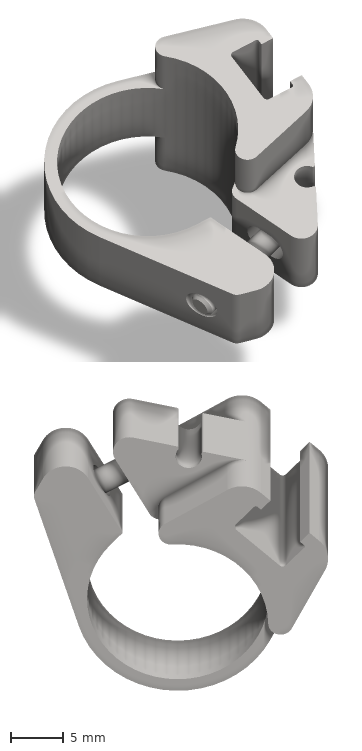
import cadquery as cq
import math

bore_radius = 8.65
ring_radius = 9.9
band_height = 8.05

saddle_height = 19.0
saddle_top = 15.8
saddle_side_angle = 15.8
saddle_corner_radius = 2.68
lobe_radius = 1.18

mouth_width = 5.1
lip_thickness = 1.32
slot_width = 6.48
slot_depth = 4.5
slot_floor_radius = 0.42
slot_lip_radius = 0.23

gap_tilt = 18
upper_gap_offset = 2.1
lower_gap_offset = -1.13
ear_slope = 30
upper_tip_radius = 1.58
upper_heel_radius = lobe_radius
lower_end_tilt = 15
lower_end_offset = 17.4
lower_tip_radius = 2.45
lower_toe_radius = 1.0

notch_radius = 2.5 / 2
notch_along_slope = 2.35
notch_below_slope = 0.8
notch_lip_radius = 0.2

screw_radius = 2.5 / 2
hole_diameter = 3.3
upper_slot_length = 4.42
lower_hole_end = 9.85
screw_along_gap = 12.82
screw_tip = 7.65
screw_chamfer = 0.35
screw_root = -3.8


def polar(radius, angle):
    """Point at a radius and an angle in degrees."""
    return radius * math.cos(math.radians(angle)), radius * math.sin(math.radians(angle))


def shift(point, radius, angle):
    """Point moved by a distance in a direction."""
    dx, dy = polar(radius, angle)
    return point[0] + dx, point[1] + dy


def mirrored(point):
    return -point[0], point[1]


def meet(line_a, line_b):
    """Crossing of two lines, each given as (normal angle, offset from the origin)."""
    (angle_a, offset_a), (angle_b, offset_b) = line_a, line_b
    ax, ay = polar(1, angle_a)
    bx, by = polar(1, angle_b)
    cross = ax * by - ay * bx
    return (offset_a * by - offset_b * ay) / cross, (ax * offset_b - bx * offset_a) / cross


def prism(profile, height):
    """Closed profile extruded evenly about the XY plane."""
    return profile.extrude(height / 2, both=True)


def round_edge(body, point, radius):
    """Round the vertical edge nearest to a point."""
    return body.edges("|Z").edges(cq.selectors.NearestToPointSelector((*point, 0))).fillet(radius)


saddle_side = (saddle_side_angle, ring_radius)
saddle_roof = (90, saddle_top)
gap_normal = 90 + gap_tilt
upper_gap = (gap_normal, upper_gap_offset)
lower_gap = (gap_normal, lower_gap_offset)
lower_end = (-lower_end_tilt, lower_end_offset)
slope_normal = 90 - ear_slope
underside_normal = ear_slope - 90
underside = (underside_normal, ring_radius)

lobe_distance = bore_radius + lobe_radius
lobe_angle = saddle_side_angle + math.degrees(math.acos((ring_radius - lobe_radius) / lobe_distance))
lobe_center = polar(lobe_distance, lobe_angle)
lobe_side = shift(lobe_center, lobe_radius, saddle_side_angle)
lobe_bottom = shift(lobe_center, lobe_radius, -90)
lobe_bore = polar(bore_radius, lobe_angle)

saddle_corner = meet(saddle_side, saddle_roof)
corner_center = meet(
    (saddle_side_angle, ring_radius - saddle_corner_radius),
    (90, saddle_top - saddle_corner_radius),
)
slope_start = shift(corner_center, saddle_corner_radius, slope_normal)
slope_x, slope_y = polar(1, slope_normal)
slope_offset = slope_start[0] * slope_x + slope_start[1] * slope_y
ear_top = (slope_normal, slope_offset)


def make_saddle():
    profile = (
        cq.Workplane("XY")
        .moveTo(*mirrored(saddle_corner))
        .lineTo(*saddle_corner)
        .lineTo(*lobe_side)
        .threePointArc(lobe_bottom, lobe_bore)
        .threePointArc((0, bore_radius), mirrored(lobe_bore))
        .threePointArc(mirrored(lobe_bottom), mirrored(lobe_side))
        .close()
    )
    saddle = prism(profile, saddle_height)
    for corner in (saddle_corner, mirrored(saddle_corner)):
        saddle = round_edge(saddle, corner, saddle_corner_radius)
    return saddle


def make_band():
    upper_tip = meet(ear_top, upper_gap)
    heel_angle = gap_normal - math.degrees(math.acos(upper_gap_offset / bore_radius))
    upper_heel = polar(bore_radius, heel_angle)
    lower_heel = meet((0, bore_radius), lower_gap)
    lower_tip = meet(lower_gap, lower_end)
    lower_toe = meet(lower_end, underside)
    profile = (
        cq.Workplane("XY")
        .moveTo(*polar(ring_radius, 180 - saddle_side_angle))
        .lineTo(*mirrored(lobe_side))
        .lineTo(*slope_start)
        .lineTo(*upper_tip)
        .lineTo(*upper_heel)
        .threePointArc((-bore_radius, 0), (bore_radius, 0))
        .lineTo(*lower_heel)
        .lineTo(*lower_tip)
        .lineTo(*lower_toe)
        .lineTo(*polar(ring_radius, underside_normal))
        .threePointArc(
            polar(ring_radius, 180 + ear_slope),
            polar(ring_radius, 180 - saddle_side_angle),
        )
        .close()
    )
    band = prism(profile, band_height)
    for corner, radius in (
        (upper_tip, upper_tip_radius),
        (upper_heel, upper_heel_radius),
        (lower_tip, lower_tip_radius),
        (lower_toe, lower_toe_radius),
    ):
        band = round_edge(band, corner, radius)
    return band


def cut_notch(body):
    along = (slope_normal - 90, notch_along_slope)
    center = meet(along, (slope_normal, slope_offset - notch_below_slope))
    notch = prism(cq.Workplane("XY").center(*center).circle(notch_radius), band_height)
    body = body.cut(notch)
    half_mouth = math.sqrt(notch_radius**2 - notch_below_slope**2)
    for side in (-half_mouth, half_mouth):
        lip = meet((slope_normal - 90, notch_along_slope + side), ear_top)
        body = round_edge(body, lip, notch_lip_radius)
    return body


def make_t_slot():
    mouth = cq.Workplane("XY").box(mouth_width, slot_depth, saddle_height)
    mouth = mouth.translate((0, saddle_top - slot_depth / 2, 0))
    pocket_depth = slot_depth - lip_thickness
    pocket = cq.Workplane("XY").box(slot_width, pocket_depth, saddle_height)
    pocket = pocket.edges("|Z and <Y").fillet(slot_floor_radius)
    pocket = pocket.edges("|Z and >Y").fillet(slot_lip_radius)
    pocket = pocket.translate((0, saddle_top - lip_thickness - pocket_depth / 2, 0))
    return mouth.union(pocket)


def screw_plane(position):
    """Workplane square to the screw axis, with its local Y along the gap."""
    axis_x, axis_y = polar(1, gap_tilt - 90)
    origin = meet((gap_tilt, screw_along_gap), (gap_tilt - 90, position))
    return cq.Workplane(cq.Plane(origin=(*origin, 0), xDir=(0, 0, 1), normal=(axis_x, axis_y, 0)))


band = cut_notch(make_band())
clamp = make_saddle().union(band).cut(make_t_slot())

upper_slot = screw_plane(screw_root).slot2D(upper_slot_length, hole_diameter, 90).extrude(-screw_root)
lower_hole = screw_plane(0).circle(hole_diameter / 2).extrude(lower_hole_end)
screw = screw_plane(screw_root).circle(screw_radius).extrude(screw_tip - screw_root)
screw = screw.faces(">X").chamfer(screw_chamfer)
result = clamp.cut(upper_slot).cut(lower_hole).union(screw)